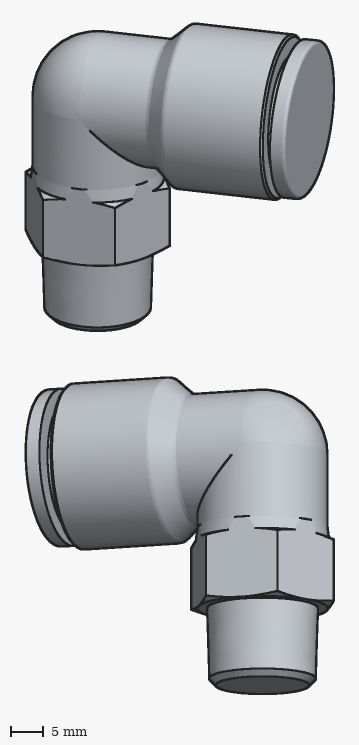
import cadquery as cq
import math


elbow_radius = 10.0

hex_flats = 20.0
hex_corner_radius = hex_flats / math.sqrt(3)
hex_bottom_z = -24.0
hex_shoulder_z = -13.4
hex_chamfer_height = 0.55
skirt_top_z = -11.45
skirt_bottom_radius = 10.25

thread_length = 12.0
thread_root_radius = 8.55
thread_tip_radius = 8.2
thread_chamfer = 1.02
thread_end_z = hex_bottom_z - thread_length

body_radius = 12.8
cone_start_x = 11.0
cone_end_x = 14.1
cone_blend_radius = 1.0
body_end_x = 30.1
body_end_chamfer = 0.35

neck_radius = 9.55
collar_start_x = 31.55
collar_thickness = 2.4
collar_width = 27.0
collar_height = 24.1
collar_edge_fillet = 0.55


def disc_along_x(radius, start_x, end_x):
    return cq.Workplane("YZ", origin=(start_x, 0, 0)).circle(radius).extrude(end_x - start_x)


def make_elbow():
    """Two equal round legs joined by a ball."""
    ball = cq.Workplane("XY").sphere(elbow_radius)
    vertical_leg = cq.Workplane("XY").circle(elbow_radius).extrude(skirt_top_z)
    horizontal_leg = disc_along_x(elbow_radius, 0, cone_start_x)
    return vertical_leg.union(horizontal_leg).union(ball)


def make_hexagon():
    """Hexagon trimmed by a turned profile: chamfered ends and a flared skirt above."""
    prism = (
        cq.Workplane("XY", origin=(0, 0, hex_bottom_z))
        .polygon(6, 2 * hex_corner_radius)
        .extrude(skirt_top_z - hex_bottom_z)
    )
    turned_envelope = (
        cq.Workplane("XZ")
        .moveTo(0, hex_bottom_z)
        .lineTo(hex_flats / 2, hex_bottom_z)
        .lineTo(hex_corner_radius, hex_bottom_z + hex_chamfer_height)
        .lineTo(hex_corner_radius, hex_shoulder_z - hex_chamfer_height)
        .lineTo(skirt_bottom_radius, hex_shoulder_z)
        .lineTo(elbow_radius, skirt_top_z)
        .lineTo(0, skirt_top_z)
        .close()
        .revolve(360, (0, 0, 0), (0, 1, 0))
    )
    return prism.intersect(turned_envelope)


def make_thread():
    """Tapered stub with a chamfered tip."""
    return (
        cq.Workplane("XZ")
        .moveTo(0, hex_bottom_z)
        .lineTo(thread_root_radius, hex_bottom_z)
        .lineTo(thread_tip_radius, thread_end_z + thread_chamfer)
        .lineTo(thread_tip_radius - thread_chamfer, thread_end_z)
        .lineTo(0, thread_end_z)
        .close()
        .revolve(360, (0, 0, 0), (0, 1, 0))
    )


def make_body():
    """Socket body flaring from the elbow through a blended cone."""
    leg_start_x = cone_start_x - cone_blend_radius
    body = (
        cq.Workplane("XZ")
        .moveTo(leg_start_x, 0)
        .lineTo(leg_start_x, elbow_radius)
        .lineTo(cone_start_x, elbow_radius)
        .lineTo(cone_end_x, body_radius)
        .lineTo(body_end_x, body_radius)
        .lineTo(body_end_x, 0)
        .close()
        .revolve(360, (0, 0, 0), (1, 0, 0))
    )
    body = body.faces(">X").edges().chamfer(body_end_chamfer)
    return body.faces("%CONE").faces("<X").edges().fillet(cone_blend_radius)


def make_collar():
    neck = disc_along_x(neck_radius, body_end_x, collar_start_x)
    collar = (
        cq.Workplane("YZ", origin=(collar_start_x, 0, 0))
        .ellipse(collar_width / 2, collar_height / 2)
        .extrude(collar_thickness)
        .faces(">X")
        .edges()
        .fillet(collar_edge_fillet)
    )
    return neck.union(collar)


result = make_elbow().union(make_hexagon()).union(make_thread()).union(make_body()).union(make_collar())